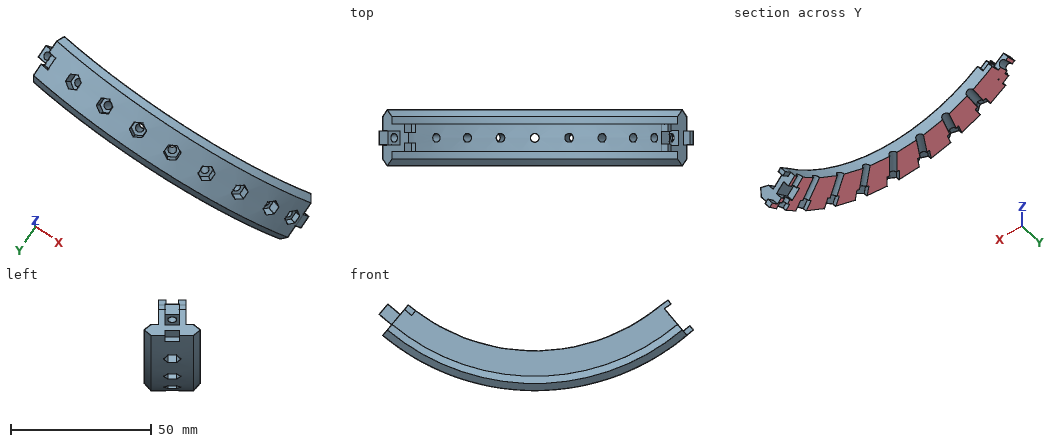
import cadquery as cq
import math

outer_radius = 84.3
half_angle = 40.0
rail_depth = 14.2
inner_radius = outer_radius - rail_depth

flange_width = 20.0
flange_depth = 5.1
bevel_width = 2.5
rib_width = 9.8

tab_width = 5.0
tab_floor = 4.9
tab_depth = 4.8
tab_hole_offset = 2.8
recess_length = 3.4
recess_depth = 2.1
recess_web = 3.8
notch_width = 5.1
notch_length = 3.6
notch_depth = 2.2

clearance = 0.2
pocket_width = tab_width + clearance
pocket_length = 6.5
pocket_hole_angle = 37.4
hook_length = 3.0
hook_thickness = 1.8
hook_tilt = 5.0
hook_gap = 4.4
tongue_width = 5.0
tongue_length = 3.0
tongue_depth = 2.0

hole_diameter = 3.0
hole_pitch = 10.0
holes_per_side = 3
nut_corner_width = 6.2
nut_pocket_depth = 4.5
end_nut_pocket_depth = 2.7

overall_length = 111.9
end_sine = math.sin(math.radians(half_angle))
end_cosine = math.cos(math.radians(half_angle))
right_reach = outer_radius * end_sine + tongue_length * end_cosine
tab_root_reach = (outer_radius - tab_floor) * end_sine
tab_length = (overall_length - right_reach - tab_root_reach) / end_cosine

overlap = 1.1


def make_rail():
    """Revolve the T-section about the Y axis, centred on the lowest point of the arc."""
    half_flange = flange_width / 2
    half_rib = rib_width / 2
    bevel_depth = flange_depth / 2
    right_half = [
        (half_flange - bevel_width, outer_radius),
        (half_flange, outer_radius - bevel_depth),
        (half_flange - bevel_width, outer_radius - flange_depth),
        (half_rib, outer_radius - flange_depth),
        (half_rib, inner_radius),
    ]
    left_half = [(-y, radius) for y, radius in reversed(right_half)]
    section = [(y, -radius) for y, radius in right_half + left_half]
    return (
        cq.Workplane("YZ")
        .polyline(section)
        .close()
        .revolve(2 * half_angle, (0, 0), (1, 0))
        .rotate((0, 0, 0), (0, 1, 0), -half_angle)
    )


def at_angle(shape, angle):
    """Move a shape from the bottom of the arc to an angle along it, positive towards +X."""
    return shape.rotate((0, 0, 0), (0, 1, 0), -angle)


def block(start, length, floor, depth, width, y_centre=0):
    """Box at the bottom of the arc: start along X, floor measured inwards from the outer face."""
    return cq.Workplane("XY").box(length, width, depth, centered=(False, True, False)).translate(
        (start, y_centre, floor - outer_radius)
    )


def round_hole(x):
    """Screw hole along Z through the whole rail depth."""
    hole_start = -outer_radius - overlap
    hole_length = rail_depth + 2 * overlap
    return cq.Workplane("XY", origin=(x, 0, hole_start)).circle(hole_diameter / 2).extrude(hole_length)


def nut_hole(pocket_depth):
    """Screw hole with a hexagonal nut pocket, corners pointing along Y."""
    nut = (
        cq.Workplane("XY", origin=(0, 0, -outer_radius - overlap))
        .polygon(6, nut_corner_width)
        .extrude(pocket_depth + overlap)
        .rotate((0, 0, 0), (0, 0, 1), 90)
    )
    return round_hole(0).union(nut)


def add_left_end(rail):
    """Drilled tab, recesses beside the rib web for the hooks, and a notch for the tongue."""
    tab = block(-tab_length, tab_length + overlap, tab_floor, tab_depth, tab_width)
    tab = tab.cut(round_hole(-tab_hole_offset))
    rail = rail.union(at_angle(tab, -half_angle))

    notch = block(-overlap, notch_length + overlap, -overlap, notch_depth + overlap, notch_width)
    rail = rail.cut(at_angle(notch, -half_angle))

    recess_width = (rib_width - recess_web) / 2 + overlap
    for side in (-1, 1):
        recess = block(
            -overlap,
            recess_length + overlap,
            rail_depth - recess_depth,
            recess_depth + overlap,
            recess_width,
            side * (recess_web + recess_width) / 2,
        )
        rail = rail.cut(at_angle(recess, -half_angle))
    return rail


def make_hook(side):
    """Hook on the inner edge of the rib, tilted outwards from the tangent."""
    tilt = math.radians(hook_tilt)
    hook_width = (rib_width - hook_gap) / 2
    along = (math.cos(tilt), -math.sin(tilt))
    root_top = (0, -inner_radius)
    tip_top = (hook_length * along[0], -inner_radius + hook_length * along[1])
    tip_bottom = (tip_top[0] + hook_thickness * along[1], tip_top[1] - hook_thickness * along[0])
    root_bottom = (0, -inner_radius - hook_thickness / along[0])
    buried = (-overlap, -inner_radius - hook_thickness)
    return (
        cq.Workplane("XZ")
        .polyline([root_top, tip_top, tip_bottom, root_bottom, buried])
        .close()
        .extrude(hook_width / 2, both=True)
        .translate((0, side * (hook_gap + hook_width) / 2, 0))
    )


def add_right_end(rail):
    """Pocket for the tab, two hooks and a tongue flush with the outer face."""
    pocket = block(
        -pocket_length,
        pocket_length + overlap,
        tab_floor - clearance,
        tab_depth + clearance,
        pocket_width,
    )
    rail = rail.cut(at_angle(pocket, half_angle))
    rail = rail.cut(at_angle(nut_hole(end_nut_pocket_depth), pocket_hole_angle))

    tongue = block(0, tongue_length, 0, tongue_depth, tongue_width)
    rail = rail.union(at_angle(tongue, half_angle))
    for side in (-1, 1):
        rail = rail.union(at_angle(make_hook(side), half_angle))
    return rail


def drill_rail(rail):
    """Evenly spaced radial screw holes with nut pockets."""
    for index in range(-holes_per_side, holes_per_side + 1):
        rail = rail.cut(at_angle(nut_hole(nut_pocket_depth), index * hole_pitch))
    return rail


result = drill_rail(add_right_end(add_left_end(make_rail())))